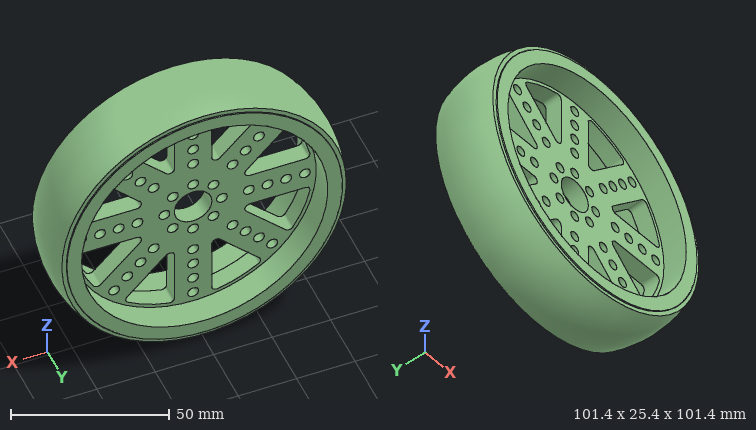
import cadquery as cq
import math

wheel_radius = 50.7
rim_width = 25.4
rim_radius = 47.2

tyre_width = 24.3
tyre_shoulder_radius = 48.7

recess_radius = 42.1
web_thickness = 6.4

spoke_count = 8
spoke_angle = 360.0 / spoke_count
spoke_width = 12.8
window_outer_radius = 40.8
window_corner_radius = 1.6

bore_diameter = 12.8
hole_diameter = 3.7
hub_hole_circle_radius = 9.8
spoke_holes = 4
first_spoke_hole_radius = 19.1
spoke_hole_pitch = 6.4


def back_plane(width):
    """The start plane for an extrusion toward -Y that is centred on the origin."""
    return cq.Workplane("XZ", origin=(0, width / 2, 0))


def centred_disc(radius, width):
    """A disc around the Y axis, centred on the origin."""
    return back_plane(width).circle(radius).extrude(width)


def make_tyre():
    """A ring with flat sides and a crowned tread, seated on the rim."""
    half_width = tyre_width / 2
    return (
        cq.Workplane("YZ")
        .moveTo(-half_width, rim_radius)
        .lineTo(-half_width, tyre_shoulder_radius)
        .threePointArc((0, wheel_radius), (half_width, tyre_shoulder_radius))
        .lineTo(half_width, rim_radius)
        .close()
        .revolve(360, (0, 0, 0), (1, 0, 0))
    )


def make_window():
    """The cutter for one window, between the spoke along +X and the next one."""
    half_angle = math.radians(spoke_angle / 2)
    half_spoke = spoke_width / 2
    apex_radius = half_spoke / math.sin(half_angle)
    edge_angle = math.asin(half_spoke / window_outer_radius)

    def polar(radius, angle):
        return (radius * math.cos(angle), radius * math.sin(angle))

    return (
        back_plane(web_thickness)
        .moveTo(*polar(apex_radius, half_angle))
        .lineTo(*polar(window_outer_radius, edge_angle))
        .threePointArc(
            polar(window_outer_radius, half_angle),
            polar(window_outer_radius, 2 * half_angle - edge_angle),
        )
        .close()
        .extrude(web_thickness)
        .edges("|Y")
        .fillet(window_corner_radius)
    )


def make_wheel():
    """The rim, web and spokes as one body."""
    wheel = centred_disc(rim_radius, rim_width)
    recesses = centred_disc(recess_radius, rim_width).cut(centred_disc(recess_radius, web_thickness))
    wheel = wheel.cut(recesses)

    window = make_window()
    for index in range(spoke_count):
        wheel = wheel.cut(window.rotate((0, 0, 0), (0, 1, 0), index * spoke_angle))

    wheel = wheel.cut(centred_disc(bore_diameter / 2, web_thickness))

    hole_radii = [hub_hole_circle_radius]
    hole_radii += [first_spoke_hole_radius + index * spoke_hole_pitch for index in range(spoke_holes)]
    for radius in hole_radii:
        holes = (
            back_plane(web_thickness)
            .polarArray(radius, 0, 360, spoke_count)
            .circle(hole_diameter / 2)
            .extrude(web_thickness)
        )
        wheel = wheel.cut(holes)
    return wheel


tyre = make_tyre()
wheel = make_wheel()

result = cq.Compound.makeCompound([wheel.val(), tyre.val()])